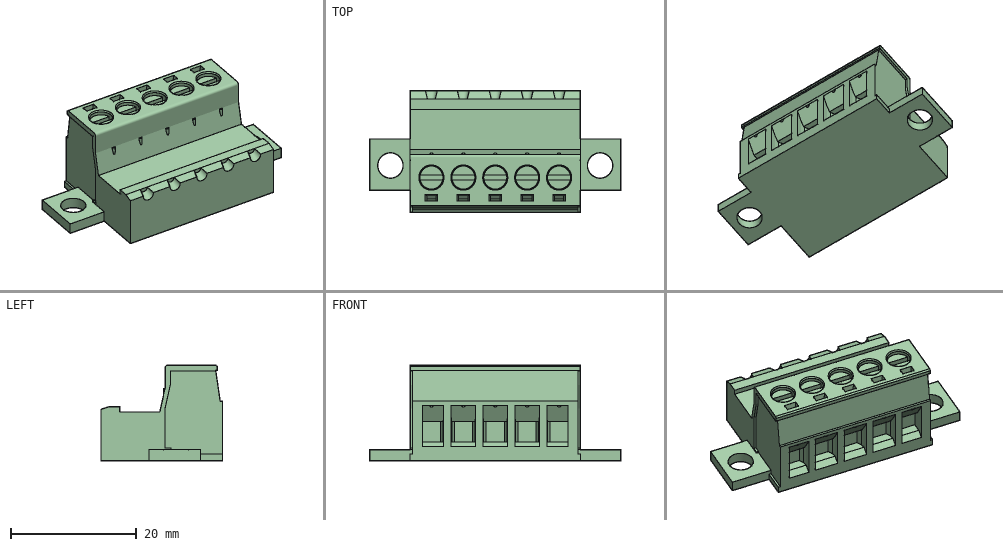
import cadquery as cq


total_length = 39.9
body_width = 27.05
body_depth = 19.3
body_height = 15.2
poles = 5
pitch = 5.05
pole_positions = [pitch * (i - (poles - 1) / 2) for i in range(poles)]

rear_edge_height = 8.18
rib_top = 8.6
rib_rear_slope = 1.3
rib_front = 16.3
deck_height = 7.8
tower_foot = 9.98
tower_rear = 9.15
tower_slope_top = 11.5
cap_front = 0.85
cap_bottom = 14.35
cap_rear_radius = 0.48
cap_front_chamfer = 0.25
tower_front_top = 1.08
ledge_height = 9.45
ledge_depth = 0.35

flank_recess = 0.35
flank_top = 14.3
flank_rear_top = 8.3
flank_bend_top = 12.0
flank_bend_bottom = 8.3
flank_step_height = 2.05
flank_step_rear = 8.18
skirt_height = 1.08

ear_front = 3.47
ear_rear = 11.65
ear_thickness = 1.8
ear_hole_diameter = 4.0
ear_hole_x = 16.65
ear_hole_y = 7.42

entry_half_width = 1.95
entry_bend_half_width = 1.85
entry_back_half_width = 1.45
entry_taper_start = 1.0
entry_bend_depth = 1.7
entry_depth = 2.47
entry_bottom = 2.27
entry_floor = 3.0
entry_floor_start = 1.0
entry_top = 8.8
entry_ceiling = 6.25
entry_ceiling_start = 1.55
groove_radius = 0.28
groove_length = 0.6

screw_y = 5.5
screw_hole_diameter = 4.0
screw_head_diameter = 3.67
screw_rim_bevel = 0.25
screw_recess = 0.8
screw_slot_width = 0.85
screw_slot_depth = 1.0

probe_width = 1.95
probe_front = 1.75
probe_rear = 2.85
probe_draft = 0.25
probe_shelf_depth = 1.4
probe_shelf_front = 2.25
probe_depth = 2.0

notch_front_radius = 0.65
notch_rear_drop = 0.5
notch_rear_radius = 0.95
pin_radius = 0.28


def side_extrusion(points, x_start, x_end):
    """Closed outline of (y, z) points, extruded along X."""
    return cq.Workplane("YZ").workplane(offset=x_start).polyline(points).close().extrude(x_end - x_start)


def box(x_range, y_range, z_range):
    """Box between the given limits."""
    size = [high - low for low, high in (x_range, y_range, z_range)]
    corner = (x_range[0], y_range[0], z_range[0])
    return cq.Workplane("XY").box(*size, centered=False).translate(corner)


def make_body():
    outline = [
        (0, 0),
        (body_depth, 0),
        (body_depth, rear_edge_height),
        (body_depth - rib_rear_slope, rib_top),
        (rib_front, rib_top),
        (rib_front, deck_height),
        (tower_foot, deck_height),
        (tower_rear, tower_slope_top),
        (tower_rear, body_height),
        (cap_front, body_height),
        (cap_front, cap_bottom),
        (tower_front_top, cap_bottom),
        (ledge_depth, ledge_height),
        (0, ledge_height),
    ]
    body = side_extrusion(outline, -body_width / 2, body_width / 2)
    body = body.faces(">Z").edges(">Y").fillet(cap_rear_radius)
    return body.faces(">Z").edges("<Y").chamfer(cap_front_chamfer)


def flank_cut(side):
    outline = [
        (0, skirt_height),
        (flank_step_rear, skirt_height),
        (flank_step_rear, flank_step_height),
        (tower_rear, flank_step_height),
        (tower_rear, flank_bend_bottom),
        (flank_rear_top, flank_bend_top),
        (flank_rear_top, flank_top),
        (0, flank_top),
    ]
    outer = side * body_width / 2
    inner = outer - side * flank_recess
    return side_extrusion(outline, min(inner, outer), max(inner, outer))


def make_ear(side):
    root = side * body_width / 2 - side * flank_recess
    tip = side * total_length / 2
    plate = box((min(root, tip), max(root, tip)), (ear_front, ear_rear), (0, ear_thickness))
    hole = cq.Workplane("XY").center(side * ear_hole_x, ear_hole_y).circle(ear_hole_diameter / 2)
    return plate.cut(hole.extrude(ear_thickness))


def entry_cut(x):
    """Wire entry with sloping lip and ceiling; the end poles have a straight wall on the outer side."""
    def wall(side):
        is_outer_wall = side * x > pitch * (poles - 2) / 2
        if is_outer_wall:
            return [(x + side * entry_back_half_width, y) for y in (0, entry_depth)]
        return [
            (x + side * entry_half_width, 0),
            (x + side * entry_half_width, entry_taper_start),
            (x + side * entry_bend_half_width, entry_bend_depth),
            (x + side * entry_back_half_width, entry_depth),
        ]

    plan = wall(1) + wall(-1)[::-1]
    column = cq.Workplane("XY").polyline(plan).close().extrude(body_height)
    profile = [
        (0, entry_bottom),
        (entry_floor_start, entry_floor),
        (entry_depth, entry_floor),
        (entry_depth, entry_ceiling),
        (entry_ceiling_start, entry_ceiling),
        (0, entry_top),
    ]
    pocket = column.intersect(side_extrusion(profile, x - pitch / 2, x + pitch / 2))
    groove = (
        cq.Workplane("XZ")
        .moveTo(x - groove_radius, entry_top)
        .threePointArc((x, entry_top - groove_radius), (x + groove_radius, entry_top))
        .close()
        .extrude(-groove_length)
    )
    return pocket.union(groove)


def screw_cut(x):
    """Hole with a beveled rim down to the screw head, with the driver slot below it."""
    head_height = body_height - screw_recess
    slot_floor = head_height - screw_slot_depth
    hole = (
        cq.Workplane("XY", origin=(x, screw_y, head_height))
        .circle(screw_head_diameter / 2)
        .extrude(screw_recess)
    )
    rim = (
        cq.Workplane("XY", origin=(x, screw_y, body_height - screw_rim_bevel))
        .circle(screw_head_diameter / 2)
        .workplane(offset=screw_rim_bevel)
        .circle(screw_hole_diameter / 2)
        .loft()
    )
    head = cq.Workplane("XY", origin=(x, screw_y, slot_floor)).circle(screw_head_diameter / 2)
    slot = cq.Workplane("XY", origin=(x, screw_y, slot_floor)).rect(screw_hole_diameter, screw_slot_width)
    slot = slot.extrude(screw_slot_depth).intersect(head.extrude(screw_slot_depth))
    return hole.union(rim).union(slot)


def probe_cut(x):
    """Rectangular opening with drafted walls and a shelf that falls away to the front."""
    shelf_height = body_height - probe_shelf_depth
    bottom_height = body_height - probe_depth
    side_profile = [
        (probe_front, body_height),
        (probe_front, bottom_height),
        (probe_shelf_front, shelf_height),
        (probe_rear - probe_draft, shelf_height),
        (probe_rear, body_height),
    ]
    half_top = probe_width / 2
    half_throat = half_top - probe_draft
    front_profile = [
        (x - half_top, body_height),
        (x - half_throat, shelf_height),
        (x - half_throat, bottom_height),
        (x + half_throat, bottom_height),
        (x + half_throat, shelf_height),
        (x + half_top, body_height),
    ]
    side_shape = side_extrusion(side_profile, x - half_top, x + half_top)
    front_shape = cq.Workplane("XZ").polyline(front_profile).close().extrude(-probe_rear)
    return side_shape.intersect(front_shape)


def notch_cut(x):
    """Conical trough that widens and falls toward the rear."""
    return (
        cq.Workplane("XZ", origin=(x, body_depth, rib_top - notch_rear_drop))
        .circle(notch_rear_radius)
        .workplane(offset=rib_rear_slope)
        .center(0, notch_rear_drop)
        .circle(notch_front_radius)
        .loft()
    )


def make_pin(x):
    return (
        cq.Workplane("XY", origin=(x, tower_rear, deck_height))
        .circle(pin_radius)
        .extrude(tower_slope_top - deck_height)
    )


result = make_body()
for side in (-1, 1):
    result = result.cut(flank_cut(side)).union(make_ear(side))
for x in pole_positions:
    result = result.union(make_pin(x))
    for make_cut in (entry_cut, screw_cut, probe_cut, notch_cut):
        result = result.cut(make_cut(x))